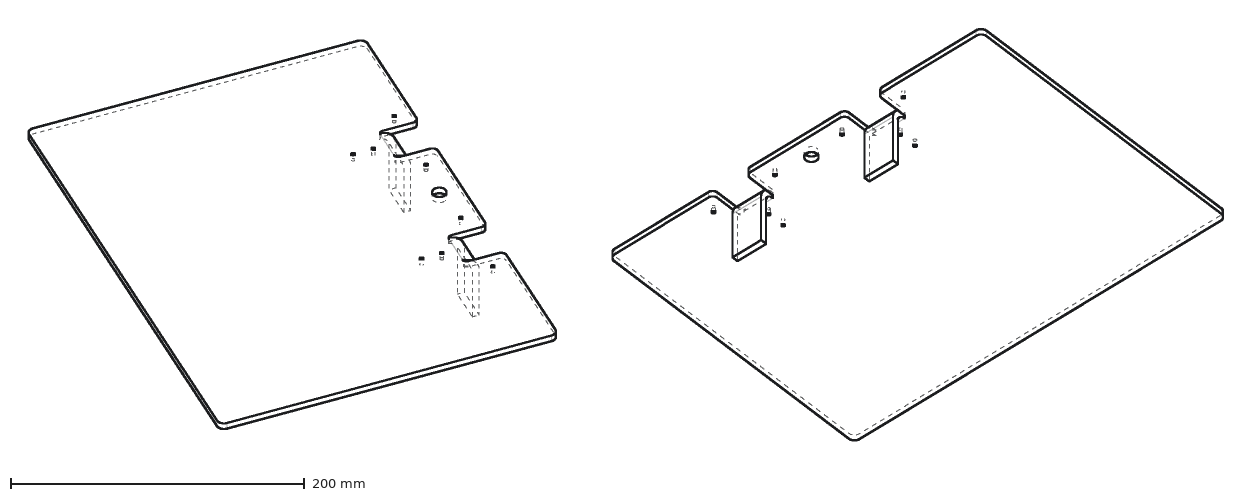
import cadquery as cq

plate_length = 340.0
plate_depth = 250.0
plate_corner_radius = 5.0
sheet_thickness = 5.0
total_height = 52.0
rear_edge = plate_depth / 2

notch_offset = 60.2
notch_width = 30.0
notch_depth = 29.5
notch_corner_radius = 3.0
notch_mouth_radius = 4.0

tab_width = 26.2
bend_inner_radius = 6.8
bend_outer_radius = bend_inner_radius + sheet_thickness
tab_setback = notch_depth - bend_outer_radius

small_hole_diameter = 2.5
edge_hole_offsets = (30.5, 86.7)
edge_hole_setback = 13.3
tab_hole_setbacks = (39.8, 54.7)
centre_hole_diameter = 10.0
centre_hole_setback = 16.3


def make_plate():
    """Rounded plate with two open notches in its rear edge."""
    plate = (
        cq.Workplane("XY")
        .rect(plate_length, plate_depth)
        .extrude(-sheet_thickness)
        .edges("|Z")
        .fillet(plate_corner_radius)
    )
    for side in (-1, 1):
        notch = (
            cq.Workplane("XY")
            .center(side * notch_offset, rear_edge - notch_depth / 2)
            .rect(notch_width, notch_depth)
            .extrude(-sheet_thickness)
            .edges("|Z and <Y")
            .fillet(notch_corner_radius)
        )
        plate = plate.cut(notch)
    mouth_reach = notch_offset + notch_width
    mouth_edges = cq.selectors.BoxSelector(
        (-mouth_reach, rear_edge - notch_corner_radius, -total_height),
        (mouth_reach, rear_edge + notch_corner_radius, total_height),
    )
    return plate.edges("|Z").edges(mouth_edges).fillet(notch_mouth_radius)


def make_tab(x_centre):
    """Sheet strip that leaves the plate level and bends straight down."""
    outer_face = rear_edge - tab_setback
    inner_face = outer_face - sheet_thickness
    bend_start = outer_face - bend_outer_radius
    root = rear_edge - notch_depth - notch_corner_radius
    return (
        cq.Workplane("YZ", origin=(x_centre - tab_width / 2, 0, 0))
        .moveTo(root, 0)
        .lineTo(bend_start, 0)
        .radiusArc((outer_face, -bend_outer_radius), bend_outer_radius)
        .lineTo(outer_face, -total_height)
        .lineTo(inner_face, -total_height)
        .lineTo(inner_face, -bend_outer_radius)
        .radiusArc((bend_start, -sheet_thickness), -bend_inner_radius)
        .lineTo(root, -sheet_thickness)
        .close()
        .extrude(tab_width)
    )


def drill(body, points, diameter):
    """Cut round holes through the plate at the given XY points."""
    drills = (
        cq.Workplane("XY")
        .pushPoints(points)
        .circle(diameter / 2)
        .extrude(-sheet_thickness)
    )
    return body.cut(drills)


body = make_plate()
for side in (-1, 1):
    x_tab = side * notch_offset
    body = body.union(make_tab(x_tab))
    edge_holes = [(side * offset, rear_edge - edge_hole_setback) for offset in edge_hole_offsets]
    tab_holes = [(x_tab, rear_edge - setback) for setback in tab_hole_setbacks]
    body = drill(body, edge_holes, small_hole_diameter)
    body = drill(body, tab_holes, small_hole_diameter)

centre_hole = [(0, rear_edge - centre_hole_setback)]
result = drill(body, centre_hole, centre_hole_diameter)